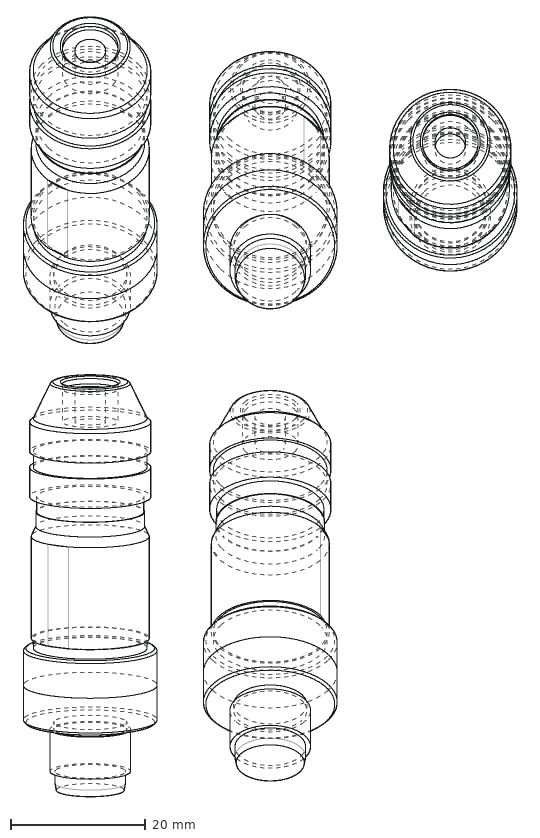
import cadquery as cq

Z_TIP = 0
Z_TIP_TAPER = 1.05
Z_THREAD_BOTTOM = 2.85
Z_THREAD_TOP = 9.25
Z_RINGS_BOTTOM = 10.3
Z_RINGS_SPLIT = 15.95
Z_RINGS_TOP = 21.6
Z_SLEEVE_BOTTOM = 23.05
Z_GRIP_TOP = 38.55
Z_SHOULDER_TOP = 40.05
Z_NECK = 42.3
Z_CAP_BOTTOM = 44.6
Z_CAP_GROOVE_BOTTOM = 49.05
Z_CAP_GROOVE_TOP = 51.45
Z_CAP_TOP = 62

TIP_RADIUS = 5.1
INSERT_RADIUS = 5.3
THREAD_RADIUS = 6.0
THREAD_RELIEF_RADIUS = 5.45

RING_RADIUS = 10.0
RING_CHAMFER = 0.4
COLLAR_RADIUS = 8.5

GRIP_RADIUS = 8.8
SHOULDER_RADIUS = 8.1
NECK_RADIUS = 8.0
FLAT_DISTANCE = 8.6

BAND_RADIUS = 9.05
CAP_GROOVE_RADIUS = 8.5
BAND_CHAMFER = 0.55
BAND_HEIGHT = Z_CAP_GROOVE_BOTTOM - Z_CAP_BOTTOM
CONE_TOP_RADIUS = 5.95
CONE_TOP_CHAMFER_WIDTH = 0.4
CONE_TOP_CHAMFER_HEIGHT = 0.25

SEAL_RADIUS = 4.15
SEAL_RECESS = 1.1
SEAL_HOLE_RADIUS = 2.3
BORE_CHAMFER = 0.3

z_band_top = Z_CAP_GROOVE_TOP + BAND_HEIGHT
z_cone_bottom = z_band_top + BAND_CHAMFER
z_seal_bottom = z_band_top
z_seal_top = Z_CAP_TOP - SEAL_RECESS


def cylinder(radius, z_bottom, z_top):
    """Cylinder on the Z axis between two heights."""
    return cq.Workplane("XY").workplane(offset=z_bottom).circle(radius).extrude(z_top - z_bottom)


def revolved(profile):
    """Solid of revolution about Z from (radius, z) points, closed along the axis."""
    z_bottom = profile[0][1]
    z_top = profile[-1][1]
    outline = [(0, z_bottom), *profile, (0, z_top)]
    return cq.Workplane("XZ").polyline(outline).close().revolve(360, (0, 0), (0, 1))


def make_contact_insert():
    """Plug tip with a slight lead-in taper."""
    return revolved([
        (TIP_RADIUS, Z_TIP),
        (INSERT_RADIUS, Z_TIP_TAPER),
        (INSERT_RADIUS, Z_THREAD_BOTTOM),
    ])


def make_thread_sleeve():
    """Plain cylinder standing for the thread, with a relief neck above it."""
    thread = cylinder(THREAD_RADIUS, Z_THREAD_BOTTOM, Z_THREAD_TOP)
    relief = cylinder(THREAD_RELIEF_RADIUS, Z_THREAD_TOP, Z_RINGS_BOTTOM)
    return thread.union(relief)


def make_lower_ring():
    ring = cylinder(RING_RADIUS, Z_RINGS_BOTTOM, Z_RINGS_SPLIT)
    return ring.faces("<Z").chamfer(RING_CHAMFER)


def make_upper_ring():
    ring = cylinder(RING_RADIUS, Z_RINGS_SPLIT, Z_RINGS_TOP)
    return ring.faces(">Z").chamfer(RING_CHAMFER)


def make_collar():
    return cylinder(COLLAR_RADIUS, Z_RINGS_TOP, Z_SLEEVE_BOTTOM)


def make_sleeve():
    """Grip with two opposite flats, a conical shoulder and a stepped neck."""
    grip = cylinder(GRIP_RADIUS, Z_SLEEVE_BOTTOM, Z_GRIP_TOP)
    flats = (
        cq.Workplane("XY").workplane(offset=Z_SLEEVE_BOTTOM)
        .rect(2 * GRIP_RADIUS, 2 * FLAT_DISTANCE)
        .extrude(Z_GRIP_TOP - Z_SLEEVE_BOTTOM)
    )
    shoulder_and_neck = revolved([
        (GRIP_RADIUS, Z_GRIP_TOP),
        (SHOULDER_RADIUS, Z_SHOULDER_TOP),
        (SHOULDER_RADIUS, Z_NECK),
        (NECK_RADIUS, Z_NECK),
        (NECK_RADIUS, Z_CAP_BOTTOM),
    ])
    return grip.intersect(flats).union(shoulder_and_neck)


def make_clamping_cap():
    """Two grip bands with a groove between them, a cone on top and a bore for the seal."""
    cap = revolved([
        (BAND_RADIUS, Z_CAP_BOTTOM),
        (BAND_RADIUS, Z_CAP_GROOVE_BOTTOM),
        (CAP_GROOVE_RADIUS, Z_CAP_GROOVE_BOTTOM),
        (CAP_GROOVE_RADIUS, Z_CAP_GROOVE_TOP),
        (BAND_RADIUS, Z_CAP_GROOVE_TOP),
        (BAND_RADIUS, z_band_top),
        (BAND_RADIUS - BAND_CHAMFER, z_cone_bottom),
        (CONE_TOP_RADIUS, Z_CAP_TOP - CONE_TOP_CHAMFER_HEIGHT),
        (CONE_TOP_RADIUS - CONE_TOP_CHAMFER_WIDTH, Z_CAP_TOP),
    ])
    bore = revolved([
        (SEAL_RADIUS, z_seal_bottom),
        (SEAL_RADIUS, Z_CAP_TOP - BORE_CHAMFER),
        (SEAL_RADIUS + BORE_CHAMFER, Z_CAP_TOP),
    ])
    return cap.cut(bore)


def make_cable_seal():
    """Seal ring recessed into the cap, with the cable hole through it."""
    seal = cylinder(SEAL_RADIUS, z_seal_bottom, z_seal_top)
    return seal.cut(cylinder(SEAL_HOLE_RADIUS, z_seal_bottom, z_seal_top))


contact_insert = make_contact_insert()
thread_sleeve = make_thread_sleeve()
lower_ring = make_lower_ring()
upper_ring = make_upper_ring()
collar = make_collar()
sleeve = make_sleeve()
clamping_cap = make_clamping_cap()
cable_seal = make_cable_seal()

result = cq.Compound.makeCompound([
    contact_insert.val(),
    thread_sleeve.val(),
    lower_ring.val(),
    upper_ring.val(),
    collar.val(),
    sleeve.val(),
    clamping_cap.val(),
    cable_seal.val(),
])